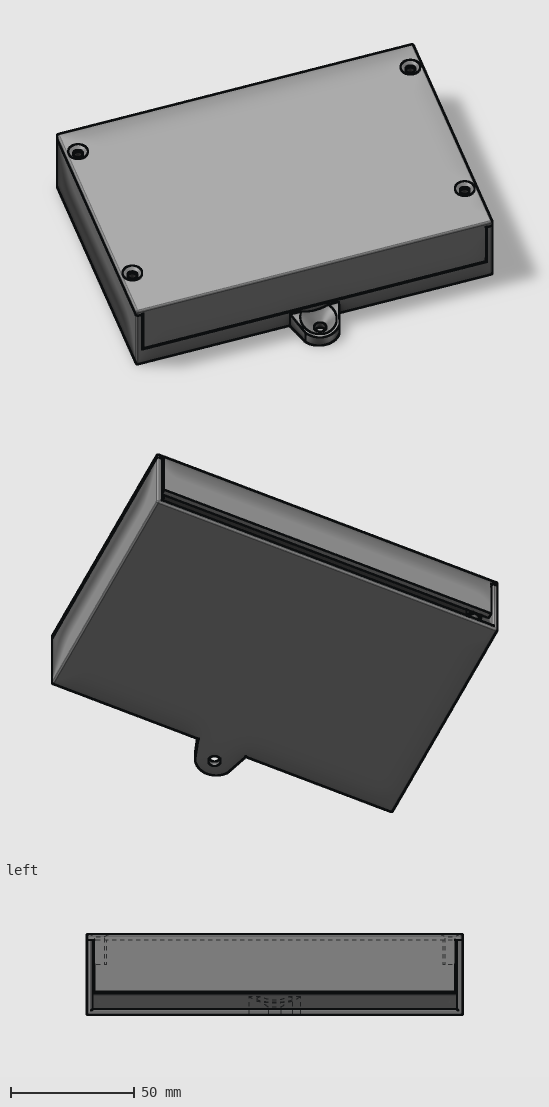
import cadquery as cq

LENGTH_X = 101.6
WIDTH_Y = 152.9
HEIGHT = 33.0
WALL = 2.5
EDGE_RADIUS = 0.8
LID_THICKNESS = 2.5
BACK_WALL_HEIGHT = 9.0
PANEL_GAP = 0.6

SCREW_HOLE_DIAMETER = 4.0
SCREW_HEAD_DIAMETER = 8.0
SCREW_SINK_DEPTH = 1.2
SCREW_INSET_Y = 5.2
SCREW_INSET_FRONT = 12.0
SCREW_INSET_BACK = 20.5

BOSS_DIAMETER = 6.0
BOSS_HEIGHT = 10.0

TAB_REACH = 14.0
TAB_ROOT_HALF_WIDTH = 10.5
TAB_ROOT_HEIGHT = 7.5
TAB_TIP_HEIGHT = 5.0
TAB_NOSE_START = 10.0
TAB_NOSE_HALF_WIDTH = 7.3
TAB_HOLE_OFFSET = 6.9
TAB_HOLE_DIAMETER = 5.0
TAB_SINK_START = 3.3
TAB_SINK_FLARE = 1.55

FRONT_X = -LENGTH_X / 2
BACK_X = LENGTH_X / 2
HALF_Y = WIDTH_Y / 2
INNER_HALF_Y = HALF_Y - WALL
BASE_HEIGHT = HEIGHT - LID_THICKNESS
PANEL_BOTTOM = BACK_WALL_HEIGHT + PANEL_GAP
SCREW_PLACES = [
    (x, side * (HALF_Y - SCREW_INSET_Y))
    for x in (FRONT_X + SCREW_INSET_FRONT, BACK_X - SCREW_INSET_BACK)
    for side in (-1, 1)
]
TAB_ROOT_X = BACK_X - WALL / 2


def block(x_start, x_end, half_y, z_start, z_end):
    """Box centred on Y = 0, between the given X and Z limits."""
    size = (x_end - x_start, 2 * half_y, z_end - z_start)
    return cq.Workplane("XY").box(*size, centered=(False, True, False)).translate((x_start, 0, z_start))


def make_envelope():
    """Closed enclosure outline with every outer edge rounded."""
    return block(FRONT_X, BACK_X, HALF_Y, 0, HEIGHT).edges().fillet(EDGE_RADIUS)


def make_tab():
    """Sloped tab with a rounded nose, rooted in the back wall."""
    outline = (
        cq.Workplane("XY")
        .moveTo(TAB_ROOT_X, -TAB_ROOT_HALF_WIDTH)
        .lineTo(BACK_X, -TAB_ROOT_HALF_WIDTH)
        .lineTo(BACK_X + TAB_NOSE_START, -TAB_NOSE_HALF_WIDTH)
        .threePointArc((BACK_X + TAB_REACH, 0), (BACK_X + TAB_NOSE_START, TAB_NOSE_HALF_WIDTH))
        .lineTo(BACK_X, TAB_ROOT_HALF_WIDTH)
        .lineTo(TAB_ROOT_X, TAB_ROOT_HALF_WIDTH)
        .close()
        .extrude(TAB_ROOT_HEIGHT)
    )
    side_profile = (
        cq.Workplane("XZ")
        .polyline([
            (TAB_ROOT_X, 0),
            (TAB_ROOT_X, TAB_ROOT_HEIGHT),
            (BACK_X, TAB_ROOT_HEIGHT),
            (BACK_X + TAB_REACH, TAB_TIP_HEIGHT),
            (BACK_X + TAB_REACH, 0),
        ])
        .close()
        .extrude(TAB_ROOT_HALF_WIDTH, both=True)
    )
    return outline.intersect(side_profile)


def make_tab_hole():
    """Through hole that flares into a wide cone, kept clear of the back wall."""
    hole_radius = TAB_HOLE_DIAMETER / 2
    top_radius = hole_radius + TAB_SINK_FLARE * (TAB_ROOT_HEIGHT - TAB_SINK_START)
    cone = (
        cq.Workplane("XZ", origin=(BACK_X + TAB_HOLE_OFFSET, 0, 0))
        .polyline([
            (0, 0),
            (hole_radius, 0),
            (hole_radius, TAB_SINK_START),
            (top_radius, TAB_ROOT_HEIGHT),
            (0, TAB_ROOT_HEIGHT),
        ])
        .close()
        .revolve(360, (0, 0), (0, 1))
    )
    return cone.intersect(block(BACK_X, BACK_X + TAB_REACH, TAB_ROOT_HALF_WIDTH, 0, TAB_ROOT_HEIGHT))


def make_post(diameter):
    """Upright cylinder ending at the joint between base and lid."""
    return cq.Workplane("XY", origin=(0, 0, BASE_HEIGHT - BOSS_HEIGHT)).circle(diameter / 2).extrude(BOSS_HEIGHT)


def make_base():
    """Floor, two side walls and a low back wall, open at the front and on top."""
    base = make_envelope().intersect(block(FRONT_X, BACK_X, HALF_Y, 0, BASE_HEIGHT))
    base = base.cut(block(FRONT_X, BACK_X - WALL, INNER_HALF_Y, WALL, BASE_HEIGHT))
    base = base.cut(block(BACK_X - WALL, BACK_X, INNER_HALF_Y, BACK_WALL_HEIGHT, BASE_HEIGHT))

    rim_height = (WALL + BASE_HEIGHT) / 2
    rounded_edges = [
        (FRONT_X, 0, WALL),
        (FRONT_X, -INNER_HALF_Y, rim_height),
        (FRONT_X, INNER_HALF_Y, rim_height),
        (BACK_X - WALL, 0, BACK_WALL_HEIGHT),
    ]
    picked = cq.selectors.NearestToPointSelector(rounded_edges[0])
    for point in rounded_edges[1:]:
        picked = picked + cq.selectors.NearestToPointSelector(point)
    base = base.edges(picked).fillet(EDGE_RADIUS)

    base = base.union(make_tab()).cut(make_tab_hole())
    for x, y in SCREW_PLACES:
        base = base.union(make_post(BOSS_DIAMETER).translate((x, y, 0)))
        base = base.cut(make_post(SCREW_HOLE_DIAMETER).translate((x, y, 0)))
    return base


def make_lid():
    """Top plate with a hanging panel at the front and back and four countersunk holes."""
    lid = make_envelope().intersect(block(FRONT_X, BACK_X, HALF_Y, BASE_HEIGHT, HEIGHT))
    for panel_x in (FRONT_X, BACK_X - WALL):
        panel = block(panel_x, panel_x + WALL, INNER_HALF_Y - PANEL_GAP, PANEL_BOTTOM, BASE_HEIGHT)
        lid = lid.union(panel)

    for x, y in SCREW_PLACES:
        lid = lid.cut(make_screw_hole().translate((x, y, HEIGHT)))
    return lid


def make_screw_hole():
    """Countersunk hole through the lid plate, with its mouth at Z = 0."""
    hole_radius = SCREW_HOLE_DIAMETER / 2
    return (
        cq.Workplane("XZ")
        .polyline([
            (0, 0),
            (SCREW_HEAD_DIAMETER / 2, 0),
            (hole_radius, -SCREW_SINK_DEPTH),
            (hole_radius, -LID_THICKNESS),
            (0, -LID_THICKNESS),
        ])
        .close()
        .revolve(360, (0, 0), (0, 1))
    )


base = make_base()
lid = make_lid()
result = cq.Compound.makeCompound([base.val(), lid.val()])